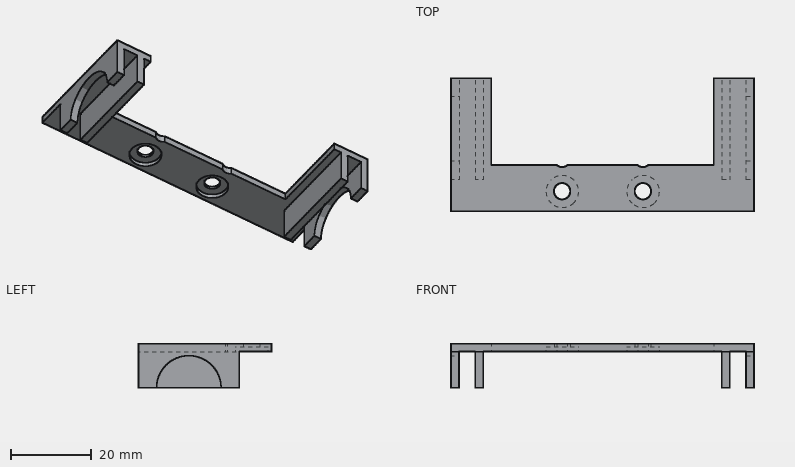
import cadquery as cq

LENGTH = 75.0
DEPTH = 33.0
HEIGHT = 11.0
PLATE_THICKNESS = 2.0
ARM_WIDTH = 10.0
BRIDGE_DEPTH = 11.5

HOLE_DIAMETER = 4.0
HOLE_SPACING = 20.0
HOLE_Y = 5.0
COUNTERBORE_DIAMETER = 8.0
COUNTERBORE_DEPTH = 1.2

NICK_DIAMETER = HOLE_DIAMETER
NICK_CENTER_Y = 13.0

WALL_THICKNESS = 2.0
WALL_LENGTH = 25.0
INNER_WALL_OFFSET = 6.0
ARCH_RADIUS = 8.0

WALL_HEIGHT = HEIGHT - PLATE_THICKNESS
WALL_START_Y = DEPTH - WALL_LENGTH
ARCH_CENTER_Y = WALL_START_Y + WALL_LENGTH / 2


def make_cylinder_pair(center_y, diameter, height):
    """Two upright cylinders at the hole spacing, standing on Z = 0."""
    return (
        cq.Workplane("XY")
        .pushPoints([(-HOLE_SPACING / 2, center_y), (HOLE_SPACING / 2, center_y)])
        .circle(diameter / 2)
        .extrude(height)
    )


def make_plate():
    """U-shaped top plate with its counterbored holes and edge nicks."""
    plate = cq.Workplane("XY").box(LENGTH, DEPTH, PLATE_THICKNESS, centered=(True, False, False))
    opening = (
        cq.Workplane("XY")
        .box(LENGTH - 2 * ARM_WIDTH, DEPTH - BRIDGE_DEPTH, PLATE_THICKNESS, centered=(True, False, False))
        .translate((0, BRIDGE_DEPTH, 0))
    )
    holes = make_cylinder_pair(HOLE_Y, HOLE_DIAMETER, PLATE_THICKNESS)
    counterbores = make_cylinder_pair(HOLE_Y, COUNTERBORE_DIAMETER, COUNTERBORE_DEPTH)
    nicks = make_cylinder_pair(NICK_CENTER_Y, NICK_DIAMETER, PLATE_THICKNESS)
    plate = plate.cut(opening).cut(holes).cut(counterbores).cut(nicks)
    return plate.translate((0, 0, WALL_HEIGHT))


def make_wall(start_x):
    """Plain wall along Y whose low-X face is at start_x."""
    return (
        cq.Workplane("XY")
        .box(WALL_THICKNESS, WALL_LENGTH, WALL_HEIGHT, centered=False)
        .translate((start_x, WALL_START_Y, 0))
    )


def make_arched_wall(start_x):
    """Wall with a half-round opening rising from its lower edge."""
    arch = (
        cq.Workplane("YZ", origin=(start_x, ARCH_CENTER_Y, 0))
        .circle(ARCH_RADIUS)
        .extrude(WALL_THICKNESS)
    )
    return make_wall(start_x).cut(arch)


left_walls = make_arched_wall(-LENGTH / 2).union(make_wall(-LENGTH / 2 + INNER_WALL_OFFSET))
right_walls = left_walls.mirror("YZ")
result = make_plate().union(left_walls).union(right_walls)